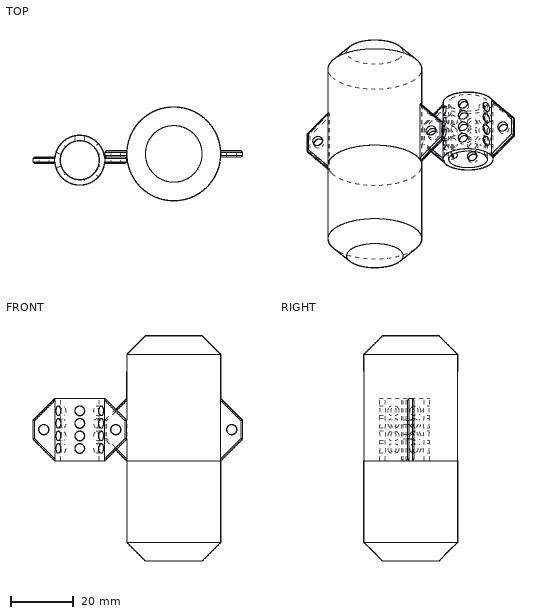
import cadquery as cq

total_height = 72.0
base_height = 32.0
lid_height = total_height - base_height
capsule_diameter = 30.0
capsule_radius = capsule_diameter / 2
end_chamfer = 6.0

tab_height = 20.0
tab_length = 7.0
tab_thickness = 2.0
tab_tip_height = tab_height - 2 * tab_length
tab_edge_chamfer = 0.5
tab_hole_diameter = 3.2

sleeve_outer_diameter = 16.0
sleeve_inner_diameter = 12.4
sleeve_radius = sleeve_outer_diameter / 2
sleeve_x = -(capsule_radius + tab_length + sleeve_radius)
sleeve_y = -tab_thickness

vent_diameter = 3.0
vent_rows = 4
vent_columns = 6
vent_pitch = tab_height / (vent_rows + 1)
vent_angle_step = 360 / vent_columns


def tab_plate(body_radius):
    """Plate on the Z axis whose two ends stand out of a round body as tabs."""
    reach = body_radius + tab_length
    half_height = tab_height / 2
    half_tip = tab_tip_height / 2
    outline = [
        (-reach, -half_tip),
        (-body_radius, -half_height),
        (body_radius, -half_height),
        (reach, -half_tip),
        (reach, half_tip),
        (body_radius, half_height),
        (-body_radius, half_height),
        (-reach, half_tip),
    ]
    plate = (
        cq.Workplane("XZ")
        .polyline(outline)
        .close()
        .extrude(tab_thickness / 2, both=True)
        .faces("<Y or >Y")
        .chamfer(tab_edge_chamfer)
    )
    return plate.translate((0, 0, half_height))


def tab_holes(body_radius):
    """Cylinders along Y through the middle of both tabs."""
    hole_x = body_radius + tab_length / 2
    holes = (
        cq.Workplane("XZ")
        .pushPoints([(-hole_x, 0), (hole_x, 0)])
        .circle(tab_hole_diameter / 2)
        .extrude(tab_thickness, both=True)
    )
    return holes.translate((0, 0, tab_height / 2))


def make_base():
    """Lower half of the capsule."""
    cylinder = cq.Workplane("XY").circle(capsule_radius).extrude(-base_height)
    return cylinder.faces("<Z").chamfer(end_chamfer)


def make_lid():
    """Upper half of the capsule with its two tabs."""
    cylinder = cq.Workplane("XY").circle(capsule_radius).extrude(lid_height)
    half = cylinder.faces(">Z").chamfer(end_chamfer)
    return half.union(tab_plate(capsule_radius)).cut(tab_holes(capsule_radius))


def vent_holes():
    """Cylinders across the sleeve; each one makes the holes of two opposite columns."""
    row_points = [(0, row * vent_pitch) for row in range(1, vent_rows + 1)]
    across = (
        cq.Workplane("XZ")
        .pushPoints(row_points)
        .circle(vent_diameter / 2)
        .extrude(sleeve_outer_diameter, both=True)
    )
    vents = cq.Workplane("XY")
    for column_pair in range(vent_columns // 2):
        turned = across.rotate((0, 0, 0), (0, 0, 1), column_pair * vent_angle_step)
        vents = vents.add(turned)
    return vents.combine()


def make_sleeve():
    """Vented tube with its two tabs."""
    tube = cq.Workplane("XY").circle(sleeve_radius).extrude(tab_height)
    bore = cq.Workplane("XY").circle(sleeve_inner_diameter / 2).extrude(tab_height)
    sleeve = tube.union(tab_plate(sleeve_radius)).cut(bore)
    sleeve = sleeve.cut(tab_holes(sleeve_radius)).cut(vent_holes())
    return sleeve.translate((sleeve_x, sleeve_y, 0))


base = make_base().solids()
lid = make_lid().solids()
sleeve = make_sleeve().solids()

result = cq.Compound.makeCompound([base.val(), lid.val(), sleeve.val()])